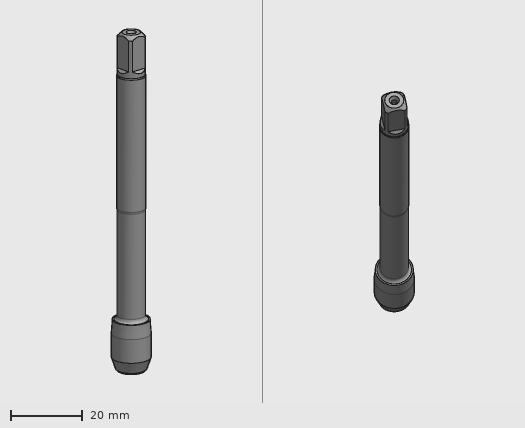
import cadquery as cq
import math

total_length = 100.0
head_diameter = 11.2
head_length = 15.1
head_shoulder_diameter = 10.6
head_tip_diameter = 8.9
tip_bevel = 0.6
lead_length = 4.0
back_taper_start = 11.0

square_end_diameter = 7.9
shank_diameter = 8.2
neck_diameter = 8.0
neck_top = 47.5
neck_taper_length = 0.6
shank_top = 87.6
step_length = 0.4
fillet_height = 1.3
foot_width = 0.8

square_width = 6.3
square_bottom = 89.6
top_face_diameter = 5.3
top_bevel = (square_end_diameter - top_face_diameter) / 2

centre_mouth_diameter = 2.8
centre_hole_diameter = 1.6
centre_cone_depth = 1.0
centre_hole_depth = 2.5
centre_point_depth = 0.5


def revolve_profile(points):
    """Revolve a closed (radius, height) profile around the Z axis."""
    return cq.Workplane("XZ").polyline(points).close().revolve(360, (0, 0), (0, 1))


def make_head():
    """Threading head with a conical lead and a slight back taper."""
    return revolve_profile([
        (0, 0),
        (head_tip_diameter / 2 - tip_bevel, 0),
        (head_tip_diameter / 2, tip_bevel),
        (head_diameter / 2, lead_length),
        (head_diameter / 2, back_taper_start),
        (head_shoulder_diameter / 2, head_length),
        (0, head_length),
    ])


def make_shank_blank():
    """Round shank with a foot fillet, a slightly thinner neck and a reduced, bevelled square end."""
    shank_radius = shank_diameter / 2
    neck_radius = neck_diameter / 2
    end_radius = square_end_diameter / 2
    fillet_top = head_length + fillet_height
    foot_radius = neck_radius + foot_width
    fillet_radius = (fillet_height**2 + foot_width**2) / (2 * foot_width)
    half_angle = math.asin(fillet_height / fillet_radius) / 2
    fillet_middle = (
        neck_radius + fillet_radius * (1 - math.cos(half_angle)),
        fillet_top - fillet_radius * math.sin(half_angle),
    )
    return (
        cq.Workplane("XZ")
        .moveTo(0, head_length)
        .lineTo(foot_radius, head_length)
        .threePointArc(fillet_middle, (neck_radius, fillet_top))
        .lineTo(neck_radius, neck_top)
        .lineTo(shank_radius, neck_top + neck_taper_length)
        .lineTo(shank_radius, shank_top - step_length)
        .lineTo(end_radius, shank_top)
        .lineTo(end_radius, total_length - top_bevel)
        .lineTo(top_face_diameter / 2, total_length)
        .lineTo(0, total_length)
        .close()
        .revolve(360, (0, 0), (0, 1))
    )


def make_flat_cutter():
    """Cutter for one flat of the square, with a 45 degree runout at its lower end."""
    flat_offset = square_width / 2
    outer_offset = shank_diameter
    runout_bottom = square_bottom - (outer_offset - flat_offset)
    return (
        cq.Workplane("XZ")
        .polyline([
            (flat_offset, square_bottom),
            (flat_offset, total_length),
            (outer_offset, total_length),
            (outer_offset, runout_bottom),
        ])
        .close()
        .extrude(shank_diameter / 2, both=True)
    )


def make_centre_hole():
    """Pilot bore with a conical mouth and a drill point."""
    return revolve_profile([
        (0, total_length),
        (centre_mouth_diameter / 2, total_length),
        (centre_hole_diameter / 2, total_length - centre_cone_depth),
        (centre_hole_diameter / 2, total_length - centre_hole_depth),
        (0, total_length - centre_hole_depth - centre_point_depth),
    ])


def make_shank():
    """Shank with four driving flats and a centre hole."""
    shank = make_shank_blank()
    flat_cutter = make_flat_cutter()
    for side in range(4):
        shank = shank.cut(flat_cutter.rotate((0, 0, 0), (0, 0, 1), side * 90))
    return shank.cut(make_centre_hole())


head = make_head()
shank = make_shank()
result = cq.Compound.makeCompound([head.val(), shank.val()])